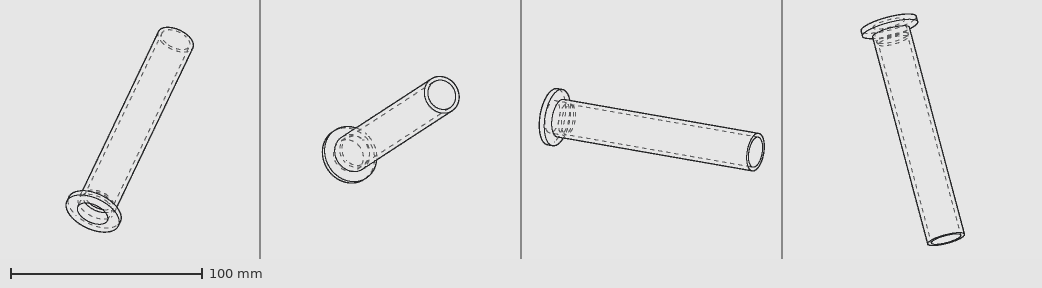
import cadquery as cq

length = 120.0
flange_diameter = 30.0
flange_rim = 3.0
flange_cone = 1.8
tube_diameter = 20.0
bore_diameter = 16.0
mouth_diameter = 17.2
mouth_depth = 8.0
mouth_taper = 1.5

flange_face = -length / 2
tube_end = length / 2
rim_back = flange_face + flange_rim
cone_back = rim_back + flange_cone
mouth_end = flange_face + mouth_depth
bore_start = mouth_end + mouth_taper

half_section = [
    (mouth_diameter / 2, flange_face),
    (flange_diameter / 2, flange_face),
    (flange_diameter / 2, rim_back),
    (tube_diameter / 2, cone_back),
    (tube_diameter / 2, tube_end),
    (bore_diameter / 2, tube_end),
    (bore_diameter / 2, bore_start),
    (mouth_diameter / 2, mouth_end),
]

result = cq.Workplane("XY").polyline(half_section).close().revolve(360, (0, 0, 0), (0, 1, 0))